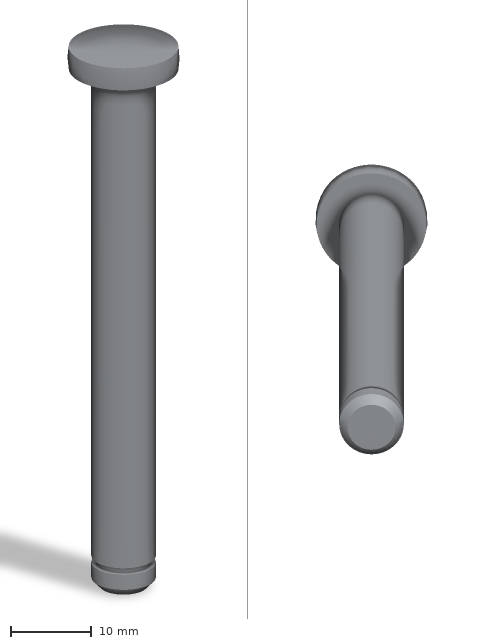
import cadquery as cq

total_length = 73.0
head_diameter = 13.95
head_height = 3.0
head_edge_bulge = 0.15
shank_diameter = 8.0
groove_diameter = 7.0
groove_bottom = 3.15
groove_width = 0.9
tip_chamfer_height = 1.1
tip_diameter = 6.0

shank_radius = shank_diameter / 2
groove_radius = groove_diameter / 2
tip_radius = tip_diameter / 2
head_radius = head_diameter / 2
head_face_radius = head_radius - head_edge_bulge

head_bottom = total_length - head_height
head_middle = total_length - head_height / 2
groove_top = groove_bottom + groove_width

profile = (
    cq.Workplane("XZ")
    .moveTo(0, 0)
    .lineTo(tip_radius, 0)
    .lineTo(shank_radius, tip_chamfer_height)
    .lineTo(shank_radius, groove_bottom)
    .lineTo(groove_radius, groove_bottom)
    .lineTo(groove_radius, groove_top)
    .lineTo(shank_radius, groove_top)
    .lineTo(shank_radius, head_bottom)
    .lineTo(head_face_radius, head_bottom)
    .threePointArc((head_radius, head_middle), (head_face_radius, total_length))
    .lineTo(0, total_length)
    .close()
)

result = profile.revolve(360, (0, 0, 0), (0, 1, 0))